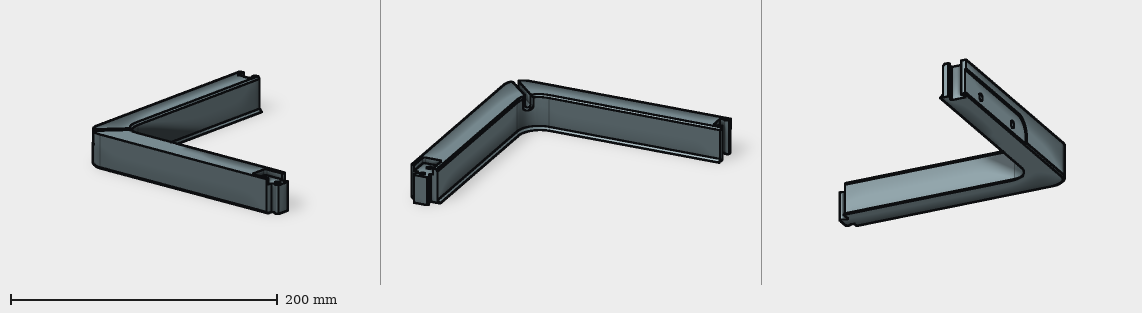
import cadquery as cq
import math

overall_x = 185.5
overall_y = 181.0
height = 27.5
outer_radius = 15.0
inner_radius = 17.8
outer_chamfer = 1.5

y_arm_width = 19.3
x_arm_width = 21.5
lip_width = 2.2
y_arm_top_bevel = 1.7
x_arm_top_bevel = 0.7
top_bevel_height = 1.7

tenon_length = 7.0
arm_end_x = overall_x - tenon_length
tenon_y = 10.8
tenon_mean_width = 10.8
tenon_wave = 0.7
socket_x = 9.5
socket_turn = -90
socket_clearance = 0.4
joint_overlap = 1.0

recess_depth = 4.6
recess_floor_z = height - recess_depth
recess_start_x = 162.0
recess_min_y = 2.2
recess_max_y = 17.6
recess_radius = 1.9
pin_diameter = 3.9
pin_depth = 9.3
pin_y = 10.2
pin_xs = (168.5, 180.6)

slot_width = 4.5
slot_center_z = 19.5
slot_chamfer = 1.5
slot_length = 55.6
slot_angle = -45

panel_depth = 0.7
panel_start_y = 76.5
panel_top_z = 20.0
panel_radius = 13.9
panel_wall_angle = 45
side_hole_diameter = 5.5
side_hole_depth = 9.3
side_hole_z = 7.6
side_hole_ys = (99.8, 153.9)


def add_outline(plane, y_arm, x_arm):
    """L outline with rounded outer and inner corners for the given arm widths."""
    outer_arc = outer_radius * (1 - math.sqrt(0.5))
    inner_arc = inner_radius * (1 - math.sqrt(0.5))
    return (
        plane.moveTo(outer_radius, 0)
        .lineTo(arm_end_x, 0)
        .lineTo(arm_end_x, x_arm)
        .lineTo(y_arm + inner_radius, x_arm)
        .threePointArc((y_arm + inner_arc, x_arm + inner_arc), (y_arm, x_arm + inner_radius))
        .lineTo(y_arm, overall_y)
        .lineTo(0, overall_y)
        .lineTo(0, outer_radius)
        .threePointArc((outer_arc, outer_arc), (outer_radius, 0))
        .close()
    )


def make_rail():
    """Straight wall with a flared lip at the foot and a bevel along the top."""
    bevel_z = height - top_bevel_height
    wall = add_outline(cq.Workplane("XY"), y_arm_width, x_arm_width).extrude(bevel_z)
    foot = add_outline(cq.Workplane("XY"), y_arm_width + lip_width, x_arm_width + lip_width)
    lip = add_outline(foot.workplane(offset=lip_width), y_arm_width, x_arm_width).loft(ruled=True)
    shoulder = add_outline(cq.Workplane("XY", origin=(0, 0, bevel_z)), y_arm_width, x_arm_width)
    top = add_outline(
        shoulder.workplane(offset=top_bevel_height),
        y_arm_width - y_arm_top_bevel,
        x_arm_width - x_arm_top_bevel,
    ).loft(ruled=True)
    rail = wall.union(lip).union(top)
    corner_box = cq.selectors.BoxSelector((-1.9, -1.9, -1.9), (outer_radius / 2, outer_radius / 2, 0.2))
    outer_edges = rail.faces("<Z").edges("<X or <Y").add(rail.edges(corner_box))
    return outer_edges.chamfer(outer_chamfer)


def make_joint(clearance, depth):
    """Wavy-sided key along +X from x = 0: a hollowed neck, then a bulged head."""
    half = (tenon_mean_width + clearance) / 2
    length = tenon_length + clearance / 2
    middle = length / 2
    neck_x = length / 4
    head_x = length * 3 / 4
    return (
        cq.Workplane("XY")
        .moveTo(-joint_overlap, -half)
        .lineTo(0, -half)
        .threePointArc((neck_x, -half + tenon_wave), (middle, -half))
        .threePointArc((head_x, -half - tenon_wave), (length, -half))
        .lineTo(length, half)
        .threePointArc((head_x, half + tenon_wave), (middle, half))
        .threePointArc((neck_x, half - tenon_wave), (0, half))
        .lineTo(-joint_overlap, half)
        .close()
        .extrude(depth)
    )


def add_tenon(body):
    tenon = make_joint(0, recess_floor_z).translate((arm_end_x, tenon_y, 0))
    return body.union(tenon)


def cut_socket(body):
    socket = (
        make_joint(socket_clearance, height)
        .rotate((0, 0, 0), (0, 0, 1), socket_turn)
        .translate((socket_x, overall_y, 0))
    )
    return body.cut(socket)


def cut_recess(body):
    recess = (
        cq.Workplane("XY", origin=(recess_start_x, recess_min_y, recess_floor_z))
        .box(overall_x - recess_start_x, recess_max_y - recess_min_y, recess_depth, centered=False)
        .edges("|Z and <X")
        .fillet(recess_radius)
    )
    return body.cut(recess)


def cut_pin_holes(body):
    pins = (
        cq.Workplane("XY", origin=(0, 0, recess_floor_z))
        .pushPoints([(x, pin_y) for x in pin_xs])
        .circle(pin_diameter / 2)
        .extrude(-pin_depth)
    )
    return body.cut(pins)


def add_slot_outline(plane, half_width):
    """U-shaped slot section, open at the top face."""
    slot_top = height - slot_center_z
    return (
        plane.moveTo(-half_width, slot_top)
        .lineTo(-half_width, 0)
        .threePointArc((0, -half_width), (half_width, 0))
        .lineTo(half_width, slot_top)
        .close()
    )


def make_slot_mouth(distance, direction):
    """Flare opening along direction (+1 or -1), bevelling a wall met at this distance."""
    start = cq.Workplane("XZ", origin=(0, distance - direction * slot_chamfer, slot_center_z))
    narrow = add_slot_outline(start, slot_width / 2)
    wide_plane = narrow.workplane(offset=-direction * 2 * slot_chamfer)
    return add_slot_outline(wide_plane, slot_width / 2 + 2 * slot_chamfer).loft(ruled=True)


def cut_corner_slot(body):
    """Slot built along +Y, then turned onto the diagonal of the corner."""
    outer_wall = outer_radius * (math.sqrt(2) - 1)
    mean_width = (y_arm_width + x_arm_width) / 2
    inner_wall = mean_width * math.sqrt(2) + inner_radius * (math.sqrt(2) - 1)
    slot = add_slot_outline(cq.Workplane("XZ", origin=(0, 0, slot_center_z)), slot_width / 2)
    cutter = (
        slot.extrude(-slot_length)
        .union(make_slot_mouth(outer_wall, -1))
        .union(make_slot_mouth(inner_wall, 1))
        .rotate((0, 0, 0), (0, 0, 1), slot_angle)
    )
    return body.cut(cutter)


def cut_side_panel(body):
    """Shallow panel with sloping walls, open at the arm end and at the foot."""
    margin = panel_radius
    length = overall_y + margin - panel_start_y
    panel = (
        cq.Workplane("YZ")
        .moveTo(panel_start_y, -margin)
        .lineTo(panel_start_y, panel_top_z - panel_radius)
        .radiusArc((panel_start_y + panel_radius, panel_top_z), panel_radius)
        .lineTo(panel_start_y + length, panel_top_z)
        .lineTo(panel_start_y + length, -margin)
        .close()
        .extrude(panel_depth, taper=panel_wall_angle)
    )
    return body.cut(panel)


def cut_side_holes(body):
    holes = (
        cq.Workplane("YZ")
        .pushPoints([(y, side_hole_z) for y in side_hole_ys])
        .circle(side_hole_diameter / 2)
        .extrude(side_hole_depth)
    )
    return body.cut(holes)


result = make_rail()
result = cut_corner_slot(result)
result = cut_recess(result)
result = add_tenon(result)
result = cut_pin_holes(result)
result = cut_socket(result)
result = cut_side_panel(result)
result = cut_side_holes(result)